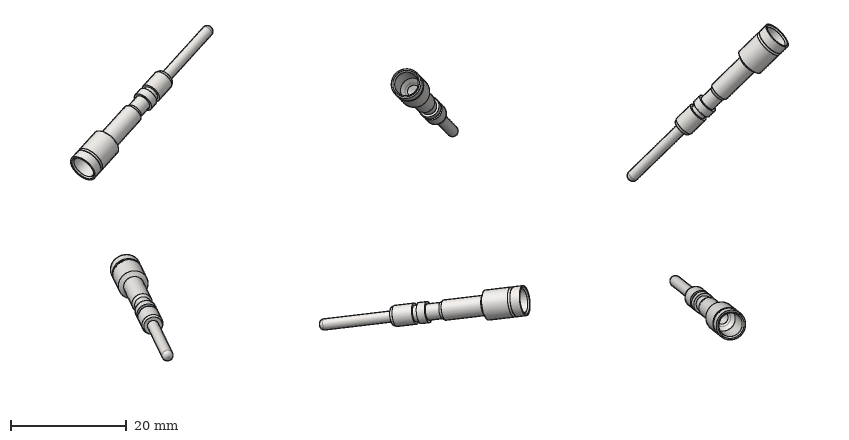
import cadquery as cq

socket_radius = 2.64
socket_groove_radius = 2.4
body_radius = 1.8
neck_radius = 1.45
collar_radius = 1.85
collar_nose_radius = 1.65
pin_radius = 1.0

groove_start = 1.75
groove_end = 2.2
groove_middle = (groove_start + groove_end) / 2
socket_end = 7.0
body_start = 7.5
body_end = 14.82
neck_start = 15.4
ring_start = 17.9
ring_end = 19.4
collar_start = 20.3
collar_chamfer_start = 23.9
collar_end = 24.45
total_length = 38.0

tip_fillet = 0.87

mouth_radius = 2.35
bore_radius = 2.1
mouth_chamfer_depth = mouth_radius - bore_radius
bore_depth = 4.95
funnel_end_radius = 1.45
funnel_depth = 5.7
throat_radius = 1.1
throat_depth = 6.08
drill_point_depth = 6.73


def revolve_about_y(profile):
    """Turn an XY half-profile, closed along the Y axis, into a solid."""
    return profile.close().revolve(360, (0, 0, 0), (0, 1, 0))


def make_outside():
    profile = (
        cq.Workplane("XY")
        .lineTo(socket_radius, 0)
        .lineTo(socket_radius, groove_start)
        .threePointArc((socket_groove_radius, groove_middle), (socket_radius, groove_end))
        .lineTo(socket_radius, socket_end)
        .lineTo(body_radius, body_start)
        .lineTo(body_radius, body_end)
        .lineTo(neck_radius, neck_start)
        .lineTo(neck_radius, ring_start)
        .lineTo(collar_radius, ring_start)
        .lineTo(collar_radius, ring_end)
        .lineTo(neck_radius, ring_end)
        .lineTo(neck_radius, collar_start)
        .lineTo(collar_radius, collar_start)
        .lineTo(collar_radius, collar_chamfer_start)
        .lineTo(collar_nose_radius, collar_end)
        .lineTo(pin_radius, collar_end)
        .lineTo(pin_radius, total_length)
        .lineTo(0, total_length)
    )
    return revolve_about_y(profile).faces(">Y").edges().fillet(tip_fillet)


def make_bore():
    profile = (
        cq.Workplane("XY")
        .lineTo(mouth_radius, 0)
        .lineTo(bore_radius, mouth_chamfer_depth)
        .lineTo(bore_radius, bore_depth)
        .lineTo(funnel_end_radius, funnel_depth)
        .lineTo(throat_radius, throat_depth)
        .lineTo(0, drill_point_depth)
    )
    return revolve_about_y(profile)


result = make_outside().cut(make_bore())